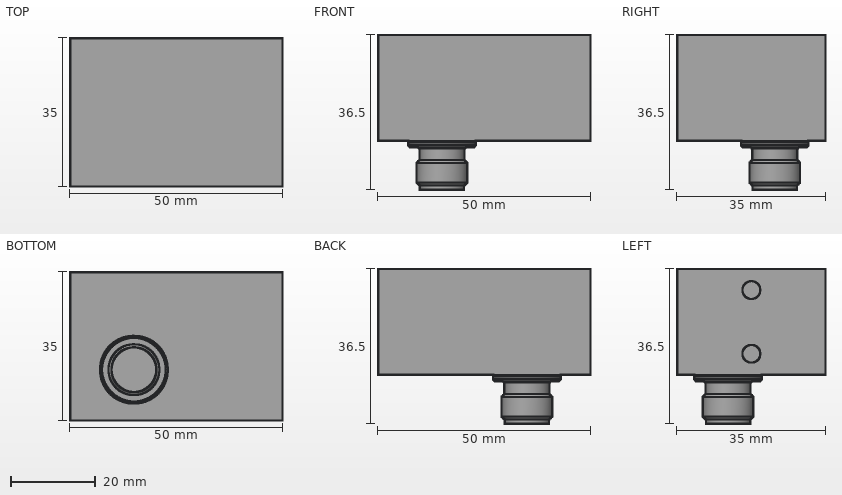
import cadquery as cq

block_length = 50.0
block_width = 35.0
block_height = 25.0

hole_diameter = 4.2
hole_depth = 1.5
hole_edge_distance = 5.0

connector_x = -10.0
connector_y = 5.5
connector_length = 11.5

flange_radius = 8.0
flange_thickness = 1.5
flange_chamfer = 0.5
flange_top_bevel_width = 0.175
flange_top_bevel_height = 0.35

neck_radius = 5.35
neck_root_chamfer = 0.3

collar_radius = 6.0
collar_chamfer = 0.7
collar_top_depth = 4.5
collar_bottom_depth = 10.45

tip_radius = 5.25


def make_block():
    return cq.Workplane("XY").box(
        block_length, block_width, block_height, centered=(True, True, False)
    )


def make_holes():
    hole_heights = (hole_edge_distance, block_height - hole_edge_distance)
    return (
        cq.Workplane("YZ", origin=(-block_length / 2, 0, 0))
        .pushPoints([(0, height) for height in hole_heights])
        .circle(hole_diameter / 2)
        .extrude(hole_depth)
    )


def make_connector():
    profile = [
        (0, 0),
        (flange_radius - flange_top_bevel_width, 0),
        (flange_radius, -flange_top_bevel_height),
        (flange_radius, flange_chamfer - flange_thickness),
        (flange_radius - flange_chamfer, -flange_thickness),
        (neck_radius + neck_root_chamfer, -flange_thickness),
        (neck_radius, -flange_thickness - neck_root_chamfer),
        (neck_radius, -collar_top_depth),
        (collar_radius, -collar_top_depth - collar_chamfer),
        (collar_radius, collar_chamfer - collar_bottom_depth),
        (collar_radius - collar_chamfer, -collar_bottom_depth),
        (tip_radius, -collar_bottom_depth),
        (tip_radius, -connector_length),
        (0, -connector_length),
    ]
    return (
        cq.Workplane("XZ")
        .polyline(profile)
        .close()
        .revolve(360, (0, 0, 0), (0, 1, 0))
        .translate((connector_x, connector_y, 0))
    )


result = make_block().cut(make_holes()).union(make_connector())